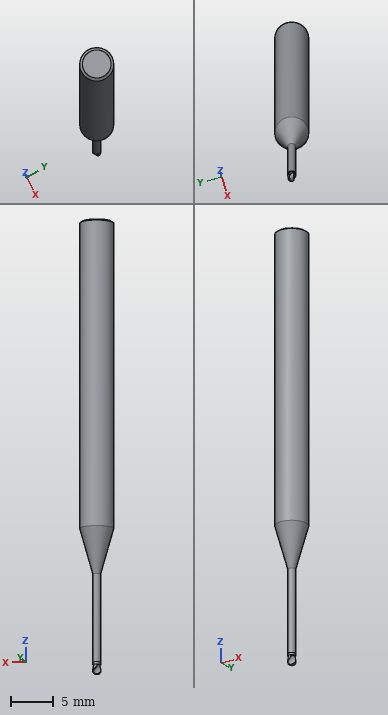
import cadquery as cq

TOTAL_LENGTH = 54.0

SHANK_RADIUS = 2.0
SHANK_BOTTOM_Z = 17.4
TOP_CHAMFER_WIDTH = 0.3
TOP_CHAMFER_HEIGHT = 0.2
NECK_RADIUS = 0.475
NECK_TOP_Z = 12.0
NECK_BOTTOM_Z = 1.45

BALL_RADIUS = 0.5
BLADE_RADIUS = 0.46
BLADE_THICKNESS = 0.5
BLADE_STOCK_WIDTH = 4 * BALL_RADIUS
BLADE_TOP_Z = 1.2
BLADE_TWIST = 90.0


def make_shank():
    """Chamfered shank, conical taper and thin neck, as one turned solid."""
    return (
        cq.Workplane("XZ")
        .moveTo(0, NECK_BOTTOM_Z)
        .lineTo(NECK_RADIUS, NECK_BOTTOM_Z)
        .lineTo(NECK_RADIUS, NECK_TOP_Z)
        .lineTo(SHANK_RADIUS, SHANK_BOTTOM_Z)
        .lineTo(SHANK_RADIUS, TOTAL_LENGTH - TOP_CHAMFER_HEIGHT)
        .lineTo(SHANK_RADIUS - TOP_CHAMFER_WIDTH, TOTAL_LENGTH)
        .lineTo(0, TOTAL_LENGTH)
        .close()
        .revolve(360, (0, 0, 0), (0, 1, 0))
    )


def make_ball_envelope():
    """Ball and slightly slimmer cylinder that bound the cutting edges."""
    ball = cq.Workplane("XY").sphere(BALL_RADIUS).translate((0, 0, BALL_RADIUS))
    body = (
        cq.Workplane("XY", origin=(0, 0, BALL_RADIUS))
        .circle(BLADE_RADIUS)
        .extrude(BLADE_TOP_Z - BALL_RADIUS)
    )
    return ball.union(body)


def make_cutting_head():
    """Twisted two-edged blade with a ball nose, below a round collar."""
    blade = (
        cq.Workplane("XY")
        .rect(BLADE_STOCK_WIDTH, BLADE_THICKNESS)
        .twistExtrude(BLADE_TOP_Z, BLADE_TWIST)
        .intersect(make_ball_envelope())
    )
    collar = (
        cq.Workplane("XY", origin=(0, 0, BLADE_TOP_Z))
        .circle(NECK_RADIUS)
        .extrude(NECK_BOTTOM_Z - BLADE_TOP_Z)
    )
    return blade.union(collar).solids()


shank = make_shank()
cutting_head = make_cutting_head()

result = cq.Compound.makeCompound([shank.val(), *cutting_head.vals()])